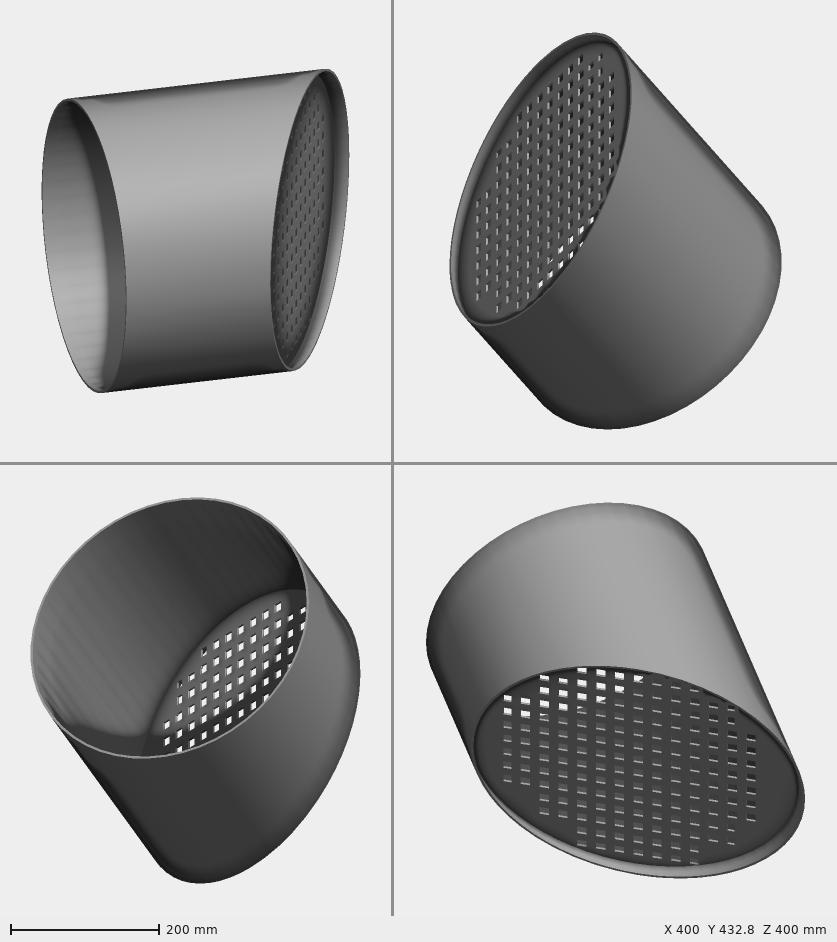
import cadquery as cq
import math

OVERALL_LENGTH = 432.8
TUBE_OUTER_DIAMETER = 400.0
TUBE_INNER_DIAMETER = 393.5
SLANT_ANGLE = 30.0

PLATE_DIAMETER = 397.0
PLATE_THICKNESS = 3.0
PLATE_SETBACK = 17.5

HOLE_SIDE = 13.0
HOLE_PITCH = 2 * HOLE_SIDE
FIELD_NARROW = 89.5
FIELD_MIDDLE = 140.0
FIELD_WIDE = 179.5

SLANT_DROP = TUBE_OUTER_DIAMETER * math.tan(math.radians(SLANT_ANGLE))
SLANT_SIN = math.sin(math.radians(SLANT_ANGLE))
SLANT_COS = math.cos(math.radians(SLANT_ANGLE))
SLANT_AXIS_Y = OVERALL_LENGTH - SLANT_DROP / 2
PLATE_AXIS_Y = SLANT_AXIS_Y - PLATE_SETBACK / SLANT_COS


def slanted_plane(axis_y):
    """Plane parallel to the cut through the tube axis at axis_y; its normal points into the tube."""
    return cq.Workplane(
        cq.Plane(
            origin=(0, axis_y, 0),
            xDir=(SLANT_COS, -SLANT_SIN, 0),
            normal=(-SLANT_SIN, -SLANT_COS, 0),
        )
    )


def cylinder_along_y(diameter):
    return cq.Workplane("XZ").circle(diameter / 2).extrude(-OVERALL_LENGTH)


def make_plate_blank():
    """Elliptical disc that is round when seen along the tube axis."""
    slab_side = 2 * OVERALL_LENGTH
    slab = slanted_plane(PLATE_AXIS_Y).rect(slab_side, slab_side).extrude(PLATE_THICKNESS)
    return slab.intersect(cylinder_along_y(PLATE_DIAMETER))


def make_tube():
    half_width = TUBE_OUTER_DIAMETER / 2
    side_outline = (
        cq.Workplane("XY")
        .moveTo(-half_width, 0)
        .lineTo(half_width, 0)
        .lineTo(half_width, OVERALL_LENGTH - SLANT_DROP)
        .lineTo(-half_width, OVERALL_LENGTH)
        .close()
        .extrude(half_width, both=True)
    )
    wall = cylinder_along_y(TUBE_OUTER_DIAMETER).cut(cylinder_along_y(TUBE_INNER_DIAMETER))
    groove = make_plate_blank()
    return wall.intersect(side_outline).cut(groove)


def make_hole_field():
    """Union of three centred rectangles, as deep as the plate."""
    half_sizes = [
        (FIELD_NARROW, FIELD_WIDE),
        (FIELD_MIDDLE, FIELD_MIDDLE),
        (FIELD_WIDE, FIELD_NARROW),
    ]
    field = cq.Workplane("XY")
    for half_x, half_z in half_sizes:
        field = field.union(
            slanted_plane(PLATE_AXIS_Y).rect(2 * half_x, 2 * half_z).extrude(PLATE_THICKNESS)
        )
    return field


def make_holes():
    """Square prisms on a grid, each with one corner on its grid point, clipped to the field."""
    steps = math.ceil(FIELD_WIDE / HOLE_PITCH)
    centres = [
        (column * HOLE_PITCH - HOLE_SIDE / 2, row * HOLE_PITCH + HOLE_SIDE / 2)
        for column in range(-steps, steps + 1)
        for row in range(-steps, steps + 1)
    ]
    prisms = (
        slanted_plane(PLATE_AXIS_Y)
        .pushPoints(centres)
        .rect(HOLE_SIDE, HOLE_SIDE)
        .extrude(PLATE_THICKNESS)
    )
    return prisms.intersect(make_hole_field())


def make_plate():
    return make_plate_blank().cut(make_holes())


tube = make_tube()
plate = make_plate()

result = cq.Compound.makeCompound([tube.val(), plate.val()])